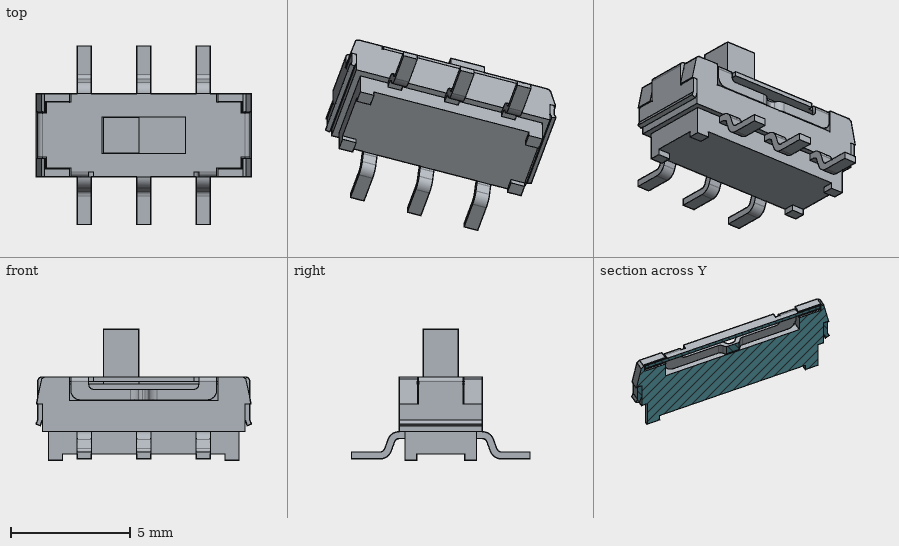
import cadquery as cq
import math


foot_height = 0.25
body_bottom = 1.2
ear_bottom = 2.37
recess_floor = 2.51
core_top = 3.2
cover_top = 3.5
slider_top = 5.5

body_half_length = 4.25
body_half_width = 1.75
base_half_length = 4.0
base_half_width = 1.5
foot_length = 0.6
foot_width = 0.5

ear_inner_x = 3.11
ear_end_x = 4.12
ear_inner_y = 1.41
ear_end_y = 0.98
ear_tip_x = 4.51
ear_shoulder_x = 4.28
ear_shoulder_z = 3.41
ear_top_x = 4.15

terminal_pitch = 2.5
terminal_width = 0.6
terminal_thickness = 0.3
terminal_span = 7.5
terminal_tip_y = terminal_span / 2
terminal_foot_z = 0.05
terminal_inner_radius = 0.2
terminal_slope = 70.0

sheet = 0.2
plate_bottom = cover_top - sheet
corner_gap = 0.03
side_gap = 0.05
flap_half_length = ear_inner_x - side_gap
flap_bottom = 2.53
flap_corner_radius = 0.4
flap_window_half_length = 2.31
flap_window_bottom = 2.98
tongue_half_length = flap_window_half_length - sheet
tab_outer_x = body_half_length + sheet
tab_bend_z = 1.69
tab_tip_x = 4.525
tab_tip_z = 1.52
slot_half_length = 1.75
slot_half_width = 0.77

detent_flat_half_length = 0.045
detent_inner_radius = 0.2
detent_outer_radius = detent_inner_radius + sheet
detent_angle = 60.0

slider_size = 1.48
slider_left_x = -1.69

flap_inner_y = sheet - body_half_width
detent_bend_radii = detent_inner_radius + detent_outer_radius
detent_depth = detent_bend_radii * (1 - math.cos(math.radians(detent_angle)))
detent_half_length = detent_flat_half_length + detent_bend_radii * math.sin(math.radians(detent_angle))


def block(x0, x1, y0, y1, z0, z1):
    """Box between two opposite corners."""
    return cq.Workplane("XY").box(x1 - x0, y1 - y0, z1 - z0, centered=False).translate((x0, y0, z0))


def centred_block(half_x, half_y, z0, z1):
    """Box centred on the Z axis."""
    return block(-half_x, half_x, -half_y, half_y, z0, z1)


def polar(centre, radius, degrees):
    """Point at an angle on a circle."""
    angle = math.radians(degrees)
    return (centre[0] + radius * math.cos(angle), centre[1] + radius * math.sin(angle))


def make_base():
    """Lower block standing on four corner feet."""
    base = centred_block(base_half_length, base_half_width, 0, body_bottom)
    base = base.cut(centred_block(base_half_length - foot_length, base_half_width, 0, foot_height))
    return base.cut(centred_block(base_half_length, base_half_width - foot_width, 0, foot_height))


def make_core():
    """Main block, recessed behind the front flap and raised behind the slider."""
    core = centred_block(body_half_length, body_half_width, body_bottom, core_top)
    recess_back_y = flap_inner_y + detent_depth
    recess = block(-ear_inner_x, ear_inner_x, -body_half_width, recess_back_y, recess_floor, core_top)
    deck = block(-ear_inner_x, ear_inner_x, slot_half_width, body_half_width, core_top, plate_bottom)
    return core.cut(recess).union(deck)


def make_ear():
    """L-shaped ear at the +X +Y corner, with a sloping outer face."""
    outline = [
        (ear_inner_x, ear_bottom),
        (ear_tip_x, ear_bottom),
        (ear_shoulder_x, ear_shoulder_z),
        (ear_top_x, cover_top),
        (ear_inner_x, cover_top),
    ]
    ear = cq.Workplane("XZ", origin=(0, body_half_width, 0)).polyline(outline).close()
    ear = ear.extrude(body_half_width - ear_end_y)
    return ear.cut(block(ear_inner_x, ear_end_x, ear_end_y, ear_inner_y, ear_bottom, cover_top))


def make_terminal():
    """Gull-wing terminal on the +Y side at X = 0."""
    outer_radius = terminal_inner_radius + terminal_thickness
    foot_top = terminal_foot_z + terminal_thickness
    shoulder_bottom = body_bottom - terminal_thickness
    slope = math.radians(terminal_slope)
    bend_rise = (terminal_inner_radius + outer_radius) * (1 - math.cos(slope))
    straight_run = (body_bottom - foot_top - bend_rise) / math.tan(slope)
    upper = (body_half_width, body_bottom - outer_radius)
    lower_y = upper[0] + (terminal_inner_radius + outer_radius) * math.sin(slope) + straight_run
    lower = (lower_y, foot_top + terminal_inner_radius)

    upper_angles = [90, 90 - terminal_slope / 2, 90 - terminal_slope]
    lower_angles = [270 - terminal_slope, 270 - terminal_slope / 2, 270]
    top_upper = [polar(upper, outer_radius, a) for a in upper_angles]
    top_lower = [polar(lower, terminal_inner_radius, a) for a in lower_angles]
    under_upper = [polar(upper, terminal_inner_radius, a) for a in upper_angles]
    under_lower = [polar(lower, outer_radius, a) for a in lower_angles]

    profile = (
        cq.Workplane("YZ", origin=(-terminal_width / 2, 0, 0))
        .moveTo(base_half_width, body_bottom)
        .lineTo(*top_upper[0])
        .threePointArc(top_upper[1], top_upper[2])
        .lineTo(*top_lower[0])
        .threePointArc(top_lower[1], top_lower[2])
        .lineTo(terminal_tip_y, foot_top)
        .lineTo(terminal_tip_y, terminal_foot_z)
        .lineTo(*under_lower[2])
        .threePointArc(under_lower[1], under_lower[0])
        .lineTo(*under_upper[2])
        .threePointArc(under_upper[1], under_upper[0])
        .lineTo(base_half_width, shoulder_bottom)
        .close()
    )
    return profile.extrude(terminal_width)


def make_housing():
    """Moulded base, core and ears with the six terminals set in it."""
    housing = make_base().union(make_core())
    ear = make_ear()
    for right_or_left in (ear, ear.mirror("YZ")):
        housing = housing.union(right_or_left).union(right_or_left.mirror("XZ"))
    terminal = make_terminal()
    for column in (-1, 0, 1):
        back = terminal.translate((column * terminal_pitch, 0, 0))
        housing = housing.union(back).union(back.mirror("XZ"))
    return housing


def make_plate():
    """Flat top of the cover, notched at the corners for the ears."""
    plate = block(
        -flap_half_length, flap_half_length, flap_inner_y, body_half_width, plate_bottom, cover_top
    )
    return plate.union(
        centred_block(ear_end_x - corner_gap, ear_inner_y - corner_gap, plate_bottom, cover_top)
    )


def make_end_tab():
    """Tab bent down over the +X end, widening below the ears to a flared lip."""
    flare = math.atan2(tab_tip_x - tab_outer_x, tab_bend_z - tab_tip_z)
    inner_tip = (tab_tip_x - sheet * math.cos(flare), tab_tip_z - sheet * math.sin(flare))
    neck_half_width = ear_end_y - side_gap
    neck = (
        block(ear_top_x - sheet, tab_outer_x, -neck_half_width, neck_half_width, ear_bottom, cover_top)
        .cut(centred_block(body_half_length, neck_half_width, ear_bottom, plate_bottom))
        .edges("|Y and >X and >Z")
        .fillet(sheet)
    )
    lip_outline = [
        (body_half_length, ear_bottom),
        (tab_outer_x, ear_bottom),
        (tab_outer_x, tab_bend_z),
        (tab_tip_x, tab_tip_z),
        inner_tip,
        (body_half_length, tab_bend_z),
    ]
    lip = cq.Workplane("XZ", origin=(0, body_half_width, 0)).polyline(lip_outline).close()
    return neck.union(lip.extrude(2 * body_half_width))


def make_flap():
    """Front flap with a rounded bend, rounded lower corners and a long window."""
    backing_y = flap_inner_y + sheet
    backing = block(-flap_half_length, flap_half_length, flap_inner_y, backing_y, flap_bottom, cover_top)
    flap = (
        block(-flap_half_length, flap_half_length, -body_half_width, backing_y, flap_bottom, cover_top)
        .edges("|Y and <Z")
        .fillet(flap_corner_radius)
        .edges("|X and <Y and >Z")
        .fillet(sheet)
        .cut(backing)
    )
    window = block(
        -flap_window_half_length,
        flap_window_half_length,
        -body_half_width,
        flap_inner_y,
        flap_window_bottom,
        cover_top,
    )
    window = window.edges("|Y and <Z").fillet(sheet)
    tongue = block(
        -tongue_half_length, tongue_half_length, -body_half_width, flap_inner_y, plate_bottom, cover_top
    )
    return flap.cut(window).union(tongue)


def make_detent():
    """Wave in the strip below the flap window, dipping towards the slider."""
    front_y = -body_half_width
    bend_angles = [0, detent_angle / 2, detent_angle]
    crest = (-detent_half_length, front_y + detent_outer_radius)
    valley = (-detent_flat_half_length, front_y + detent_depth - detent_inner_radius)
    crest_front = [polar(crest, detent_outer_radius, a - 90) for a in bend_angles]
    crest_back = [polar(crest, detent_inner_radius, a - 90) for a in bend_angles]
    valley_front = [polar(valley, detent_inner_radius, a + 90) for a in bend_angles]
    valley_back = [polar(valley, detent_outer_radius, a + 90) for a in bend_angles]
    half_wave = (
        cq.Workplane("XY", origin=(0, 0, flap_bottom))
        .moveTo(*crest_front[0])
        .threePointArc(crest_front[1], crest_front[2])
        .threePointArc(valley_front[1], valley_front[0])
        .lineTo(0, valley_front[0][1])
        .lineTo(0, valley_back[0][1])
        .lineTo(*valley_back[0])
        .threePointArc(valley_back[1], valley_back[2])
        .threePointArc(crest_back[1], crest_back[0])
        .close()
        .extrude(flap_window_bottom - flap_bottom)
    )
    return half_wave.union(half_wave.mirror("YZ"))


def make_cover():
    """Sheet-metal cover with end tabs, a front flap and the slot for the slider."""
    end_tab = make_end_tab()
    cover = make_plate().union(end_tab).union(end_tab.mirror("YZ")).union(make_flap())
    cover = cover.cut(centred_block(slot_half_length, slot_half_width, plate_bottom, cover_top))
    detent_opening = block(
        -detent_half_length,
        detent_half_length,
        -body_half_width,
        flap_inner_y,
        flap_bottom,
        flap_window_bottom,
    )
    return cover.cut(detent_opening).union(make_detent())


def make_slider():
    """Square slider standing on the housing core at the left end of the slot."""
    return block(
        slider_left_x,
        slider_left_x + slider_size,
        -slider_size / 2,
        slider_size / 2,
        core_top,
        slider_top,
    )


housing = make_housing()
cover = make_cover()
slider = make_slider()

result = cq.Compound.makeCompound([housing.solids().val(), cover.solids().val(), slider.val()])